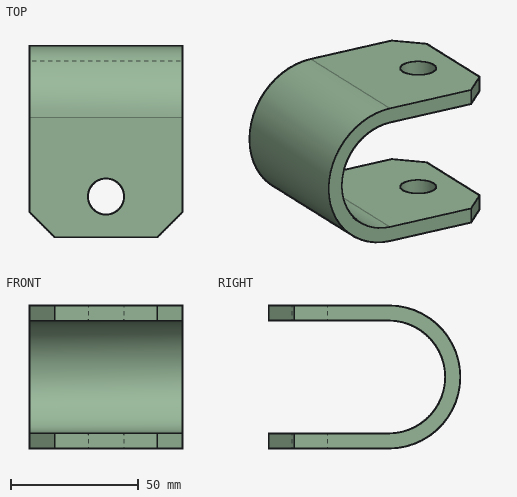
import cadquery as cq

width = 60.0
length = 75.0
height = 56.0
thickness = 6.0
corner_chamfer = 10.0
hole_diameter = 14.0
hole_to_tip = 16.0

outer_radius = height / 2
inner_radius = outer_radius - thickness
leg_length = length - outer_radius


def bent_strip():
    """Strip of constant thickness bent into a U, centred on X."""
    profile = (
        cq.Workplane("YZ")
        .moveTo(-leg_length, outer_radius)
        .lineTo(0, outer_radius)
        .threePointArc((outer_radius, 0), (0, -outer_radius))
        .lineTo(-leg_length, -outer_radius)
        .lineTo(-leg_length, -inner_radius)
        .lineTo(0, -inner_radius)
        .threePointArc((inner_radius, 0), (0, inner_radius))
        .lineTo(-leg_length, inner_radius)
        .close()
    )
    return profile.extrude(width / 2, both=True)


def pin_hole():
    """Cylinder that passes through both legs."""
    return (
        cq.Workplane("XY")
        .center(0, hole_to_tip - leg_length)
        .circle(hole_diameter / 2)
        .extrude(height, both=True)
    )


clevis = bent_strip().faces("<Y").edges("|Z").chamfer(corner_chamfer)
result = clevis.cut(pin_hole())